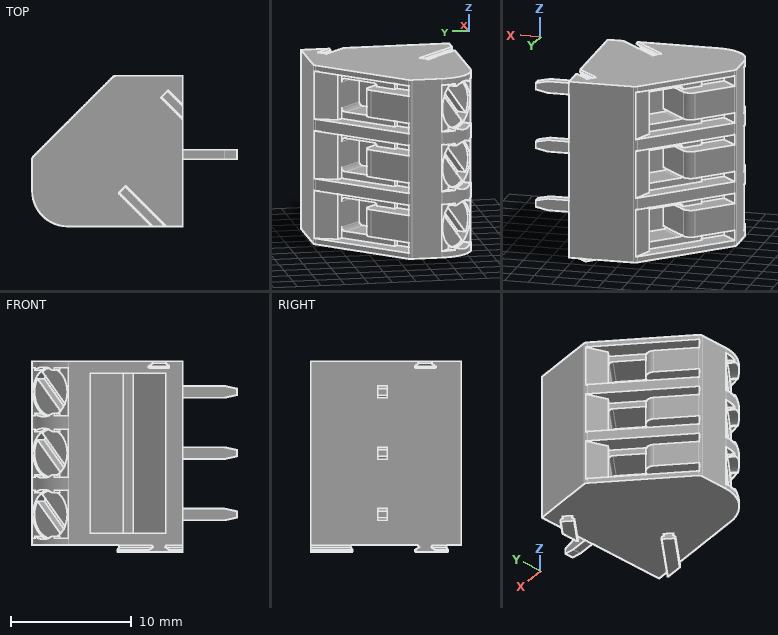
import cadquery as cq
import math

POLES = 3
PITCH = 5.08
DIAGONAL = math.sqrt(2)

BODY_SIZE = 12.5
BODY_HEIGHT = POLES * PITCH
BEVEL = 6.8
BEVEL_START_Y = BODY_SIZE - BEVEL
BEVEL_LENGTH = BEVEL * DIAGONAL
BEVEL_EDGE_RADIUS = 0.4
SCREW_CORNER_RADIUS = 3.0

TROUGH_START_X = 4.85
TROUGH_END_X = 11.1
TROUGH_DEPTH = 2.7
TROUGH_END_WALL = 1.0

WINDOW_HEIGHT = 3.98
SCREW_DIAMETER = 4.0
SCREW_RECESS = 0.2
SCREW_CLEARANCE_DIAMETER = 4.1
WINDOW_TAB_WIDTH = 2.26
WINDOW_TAB_HEIGHT = 0.2
SCREW_SLOT_WIDTH = 0.8
SCREW_SLOT_DEPTH = 0.8
SCREW_SLOT_TILT = 45

ENTRY_HEIGHT = 4.07
ENTRY_START = 0.1
TRENCH_END = 2.47
ENTRY_END = 7.78
TRENCH_DEPTH = 1.78
ENTRY_FLOOR_DEPTH = 1.41
LEAD_IN_DEPTH = 0.85
WIRE_HOLE_START = 4.24
WIRE_HOLE_HEIGHT = 2.84
WIRE_HOLE_DEPTH = 4.0
WIRE_HOLE_RADIUS = 0.32
BUTTON_END = 4.62
BUTTON_HEIGHT = 2.31
BUTTON_RADIUS = 0.7
BUTTON_EMBED = 0.2

PIN_END_X = 17.0
PIN_TAPER_START_X = 15.95
PIN_CENTER_Y = 5.97
PIN_THICKNESS = 0.8
PIN_WIDTH = 1.0
PIN_TIP_WIDTH = 0.54
PIN_EMBED = 1.0

RAIL_DEPTH = 0.58
RAIL_MOUTH_HALF = 0.43
RAIL_NECK_HALF = 0.36
RAIL_FOOT_HALF = 0.60
RAIL_FOOT_END_HALF = 0.54
RAIL_NECK_LEVEL = 0.17
RAIL_FOOT_TOP = 0.40
RAIL_FOOT_BOTTOM = 0.50
RAIL_INNER_ENDS = [(7.48, 3.07), (10.99, 10.99)]
RAIL_LENGTH = 8.0

CUT_MARGIN = 3.0

POLE_HEIGHTS = [PITCH * (pole + 0.5) for pole in range(POLES)]


def make_body():
    """Bevelled prism with softened bevel edges and a rounded screw corner."""
    outline = [
        (0, 0),
        (BODY_SIZE, 0),
        (BODY_SIZE, BODY_SIZE),
        (BEVEL, BODY_SIZE),
        (0, BEVEL_START_Y),
    ]
    body = cq.Workplane("XY").polyline(outline).close().extrude(BODY_HEIGHT)
    corner_radii = [
        ((0, 0), SCREW_CORNER_RADIUS),
        ((0, BEVEL_START_Y), BEVEL_EDGE_RADIUS),
        ((BEVEL, BODY_SIZE), BEVEL_EDGE_RADIUS),
    ]
    for corner, radius in corner_radii:
        nearest = cq.selectors.NearestToPointSelector((*corner, BODY_HEIGHT / 2))
        body = body.edges(nearest).fillet(radius)
    return body


def make_trough():
    """Trapezoidal trough cutter for the -Y face."""
    outline = [
        (TROUGH_START_X, 0),
        (TROUGH_END_X, 0),
        (TROUGH_END_X - TROUGH_DEPTH, TROUGH_DEPTH),
        (TROUGH_START_X + TROUGH_DEPTH, TROUGH_DEPTH),
    ]
    height = BODY_HEIGHT - 2 * TROUGH_END_WALL
    return cq.Workplane("XY").workplane(offset=TROUGH_END_WALL).polyline(outline).close().extrude(height)


def make_screw_window(z):
    """Cutter that exposes a slotted screw head on the 45 degree plane across the rounded corner.

    Tabs at the top and bottom stay in place and are hollowed out by the round screw clearance.
    """
    corner = [(0, 0), (SCREW_CORNER_RADIUS, 0), (0, SCREW_CORNER_RADIUS)]
    window = (
        cq.Workplane("XY").workplane(offset=z - WINDOW_HEIGHT / 2).polyline(corner).close().extrude(WINDOW_HEIGHT)
    )
    face_center = (SCREW_CORNER_RADIUS / 2, SCREW_CORNER_RADIUS / 2, z)
    face = cq.Workplane(cq.Plane(origin=face_center, xDir=(1, -1, 0), normal=(-1, -1, 0)))
    tab_offset = (WINDOW_HEIGHT - WINDOW_TAB_HEIGHT) / 2
    tabs = (
        face.pushPoints([(0, tab_offset), (0, -tab_offset)])
        .rect(WINDOW_TAB_WIDTH, WINDOW_TAB_HEIGHT)
        .extrude(CUT_MARGIN)
    )
    clearance = face.circle(SCREW_CLEARANCE_DIAMETER / 2).extrude(CUT_MARGIN)
    head_recess = face.circle(SCREW_DIAMETER / 2).extrude(-SCREW_RECESS)
    slot_bottom = SCREW_RECESS + SCREW_SLOT_DEPTH
    slot = (
        face.transformed(rotate=(0, 0, -SCREW_SLOT_TILT))
        .rect(SCREW_DIAMETER, SCREW_SLOT_WIDTH)
        .extrude(-slot_bottom)
        .intersect(face.circle(SCREW_DIAMETER / 2).extrude(-slot_bottom))
    )
    return window.cut(tabs).union(clearance).union(head_recess).union(slot)


def bevel_workplane(z):
    """Horizontal plane with local x along the bevel and local y pointing out of it."""
    return cq.Workplane(cq.Plane(origin=(0, BEVEL_START_Y, z), xDir=(1, 1, 0), normal=(0, 0, 1)))


def make_wire_entry(z):
    """Cutter for one wire entry: stepped recess with a lead-in ramp, and a wire hole, around a push button."""
    outline = [
        (ENTRY_START, CUT_MARGIN),
        (ENTRY_START, -TRENCH_DEPTH),
        (TRENCH_END, -TRENCH_DEPTH),
        (TRENCH_END, -ENTRY_FLOOR_DEPTH),
        (ENTRY_END, -ENTRY_FLOOR_DEPTH),
        (ENTRY_END, -LEAD_IN_DEPTH),
        (BEVEL_LENGTH, 0),
        (BEVEL_LENGTH, CUT_MARGIN),
    ]
    recess = bevel_workplane(z - ENTRY_HEIGHT / 2).polyline(outline).close().extrude(ENTRY_HEIGHT)

    hole_length = ENTRY_END - WIRE_HOLE_START
    wire_hole = (
        bevel_workplane(z)
        .center((WIRE_HOLE_START + ENTRY_END) / 2, -WIRE_HOLE_DEPTH / 2)
        .box(hole_length, WIRE_HOLE_DEPTH, WIRE_HOLE_HEIGHT)
        .edges(cq.selectors.ParallelDirSelector(cq.Vector(1, -1, 0)))
        .fillet(WIRE_HOLE_RADIUS)
    )

    button_bottom = WIRE_HOLE_DEPTH + BUTTON_EMBED
    button = (
        bevel_workplane(z - BUTTON_HEIGHT / 2)
        .moveTo(ENTRY_START - BUTTON_EMBED, 0)
        .lineTo(BUTTON_END - BUTTON_RADIUS, 0)
        .radiusArc((BUTTON_END, -BUTTON_RADIUS), BUTTON_RADIUS)
        .lineTo(BUTTON_END, -button_bottom)
        .lineTo(ENTRY_START - BUTTON_EMBED, -button_bottom)
        .close()
        .extrude(BUTTON_HEIGHT)
    )
    return recess.union(wire_hole).cut(button)


def make_pin(z):
    """Flat solder pin with a tapered tip, rooted in the +X face."""
    half = PIN_WIDTH / 2
    tip_half = PIN_TIP_WIDTH / 2
    outline = [
        (BODY_SIZE - PIN_EMBED, z - half),
        (PIN_TAPER_START_X, z - half),
        (PIN_END_X, z - tip_half),
        (PIN_END_X, z + tip_half),
        (PIN_TAPER_START_X, z + half),
        (BODY_SIZE - PIN_EMBED, z + half),
    ]
    middle = cq.Workplane("XZ", origin=(0, PIN_CENTER_Y, 0))
    return middle.polyline(outline).close().extrude(PIN_THICKNESS / 2, both=True)


def make_rail(inner_end, top_z):
    """Dovetail rail hanging below top_z: flared mouth, narrow neck and wide foot."""
    half_outline = [
        (RAIL_MOUTH_HALF, 0),
        (RAIL_NECK_HALF, -RAIL_NECK_LEVEL),
        (RAIL_FOOT_HALF, -RAIL_FOOT_TOP),
        (RAIL_FOOT_HALF, -RAIL_FOOT_BOTTOM),
        (RAIL_FOOT_END_HALF, -RAIL_DEPTH),
    ]
    mirrored = [(-x, y) for x, y in reversed(half_outline)]
    section = cq.Plane(origin=(*inner_end, top_z), xDir=(1, 1, 0), normal=(1, -1, 0))
    return cq.Workplane(section).polyline(half_outline + mirrored).close().extrude(RAIL_LENGTH)


body = make_body().cut(make_trough())
for pole_z in POLE_HEIGHTS:
    body = body.cut(make_screw_window(pole_z))
    body = body.cut(make_wire_entry(pole_z))
    body = body.union(make_pin(pole_z))

footprint = cq.Workplane("XY").rect(BODY_SIZE, BODY_SIZE, centered=False).extrude(-RAIL_DEPTH)
for rail_end in RAIL_INNER_ENDS:
    body = body.cut(make_rail(rail_end, BODY_HEIGHT))
    body = body.union(make_rail(rail_end, 0).intersect(footprint))

result = body